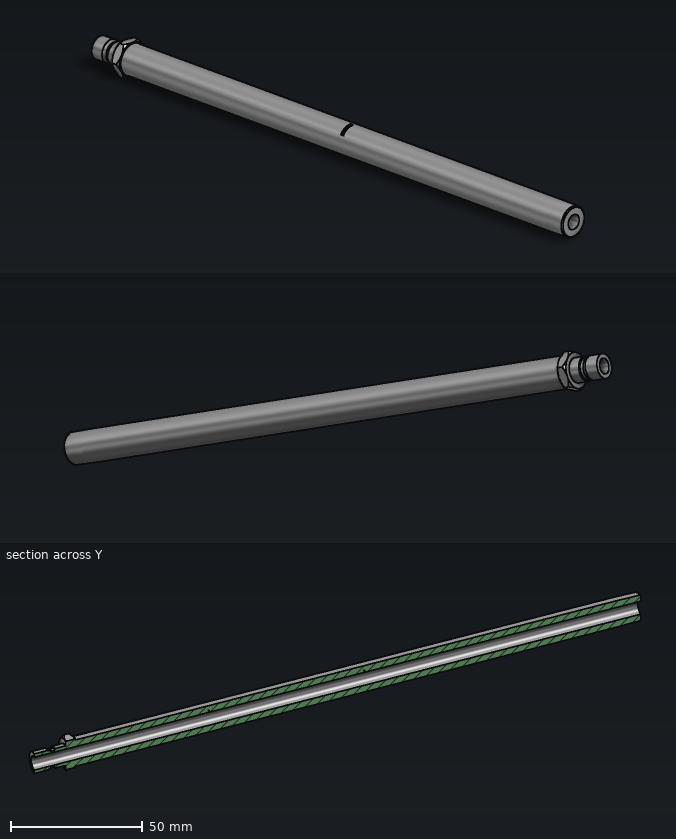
import cadquery as cq
import math

TOTAL_LENGTH = 250.0
BODY_DIAMETER = 13.0
END_CHAMFER = 0.5

TIP_LENGTH = 8.8
TIP_DIAMETER = 12.8

SPIGOT_DIAMETER = 9.8
GROOVE_DIAMETER = 8.2
GROOVE_START = 5.5
GROOVE_FLOOR_START = 7.0
GROOVE_END = 8.5

COLLAR_START = 13.0
COLLAR_WIDTH = 4.0
HEX_ACROSS_FLATS = 14.0
CORNER_BEVEL_X = 1.0

BORE_DIAMETER = 6.0

MARK_CENTER = 132.8
MARK_WIDTH = 1.2
MARK_DEPTH = 0.8
MARK_ANGLE = 55.0

collar_end = COLLAR_START + COLLAR_WIDTH
hex_across_corners = HEX_ACROSS_FLATS / math.cos(math.radians(30))


def revolved(profile):
    """Solid of revolution about X from (x, radius) points, closed along the axis."""
    first_x, last_x = profile[0][0], profile[-1][0]
    outline = [(first_x, 0)] + profile + [(last_x, 0)]
    return cq.Workplane("XY").polyline(outline).close().revolve(360, (0, 0), (1, 0))


def make_spigot():
    outer = SPIGOT_DIAMETER / 2
    floor = GROOVE_DIAMETER / 2
    return revolved([
        (0, outer),
        (GROOVE_START, outer),
        (GROOVE_FLOOR_START, floor),
        (GROOVE_END, floor),
        (GROOVE_END, outer),
        (COLLAR_START, outer),
    ])


def make_collar():
    hexagon = (
        cq.Workplane("YZ", origin=(COLLAR_START, 0, 0))
        .polygon(6, hex_across_corners)
        .extrude(COLLAR_WIDTH)
    )
    corner = hex_across_corners / 2
    bevel = HEX_ACROSS_FLATS / 2
    envelope = revolved([
        (COLLAR_START, bevel),
        (COLLAR_START + CORNER_BEVEL_X, corner),
        (collar_end - CORNER_BEVEL_X, corner),
        (collar_end, bevel),
    ])
    return hexagon.intersect(envelope)


def make_body():
    body_radius = BODY_DIAMETER / 2
    tip_radius = TIP_DIAMETER / 2
    return revolved([
        (collar_end, body_radius),
        (TOTAL_LENGTH - TIP_LENGTH, body_radius),
        (TOTAL_LENGTH - END_CHAMFER, tip_radius),
        (TOTAL_LENGTH, tip_radius - END_CHAMFER),
    ])


def make_mark():
    """Shallow arc-shaped groove running from the top of the body towards -Y."""
    body_radius = BODY_DIAMETER / 2
    ring = (
        cq.Workplane("XY")
        .center(MARK_CENTER, body_radius)
        .rect(MARK_WIDTH, 2 * MARK_DEPTH)
        .revolve(MARK_ANGLE, (-2.5, -body_radius), (0, -body_radius))
    )
    return ring.rotate((0, 0, 0), (1, 0, 0), 90)


bore = cq.Workplane("YZ").circle(BORE_DIAMETER / 2).extrude(TOTAL_LENGTH)

result = make_spigot().union(make_collar()).union(make_body()).cut(bore).cut(make_mark())